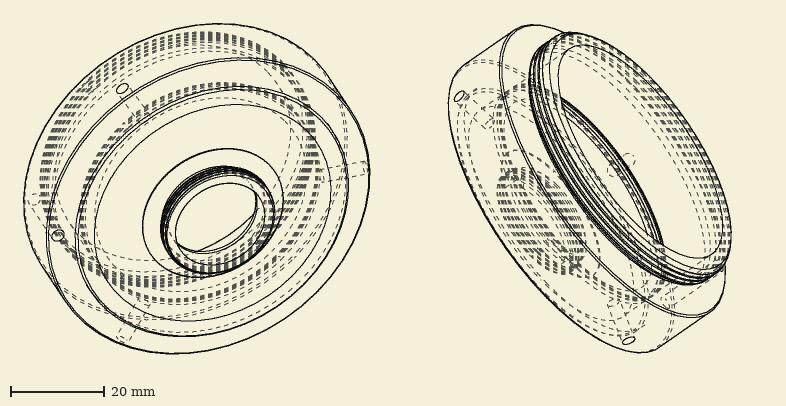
import cadquery as cq


flange_start = 7.62
flange_length = 15.24
flange_end = flange_start + flange_length
insert_face = 17.78
boss_end = 25.4
nose_end = 30.23

flange_radius = 73.66 / 2
flange_chamfer = 0.38
neck_radius = 29.62
boss_radius = 31.12
boss_chamfer = 0.5
foot_fillet = 0.25
ring_thread_radius = 30.7
ring_thread_depth = 0.68
ring_thread_pitch = 1.27
ring_thread_length = 5.95
ring_groove_runout = 1.3
bore_radius = 26.8
seat_radius = 26.92
seat_start = 17.36
undercut_start = 16.25
undercut_depth = 0.2
undercut_width = 0.45

hole_diameter = 2.8
axial_hole_radius = 34.25
radial_hole_setback = 3.46
radial_hole_count = 3

insert_chamfer = 0.65
cone_mouth_radius = 24.1
cone_depth = 6.7
light_hole_radius = 10.15

shoulder_radius = 16.0
shoulder_thickness = 0.25
nose_neck_radius = 11.75
nose_neck_length = 0.95
nose_thread_radius = 12.7
nose_thread_depth = 0.48
nose_thread_pitch = 25.4 / 32
nose_tip_radius = 12.1
nose_thread_turns = 6
nose_groove_runout = 0.76 * nose_thread_pitch

groove_overshoot = 0.05
edge_tolerance = 0.01


def lay_over(body):
    """Turn a body from the local Z axis onto the X axis."""
    return body.rotate((0, 0, 0), (0, 1, 0), 90)


def revolved(points):
    """Revolve a (radius, station) outline about the local Z axis."""
    return cq.Workplane("XZ").polyline(points).close().revolve(360, (0, 0, 0), (0, 1, 0))


def thread_cutter(crest_radius, depth, pitch, start, length):
    """Right-hand helical V cutter that leaves a narrow flat crest between its turns."""
    crest_width = pitch / 4
    half_width = (pitch - crest_width) / 2
    base_radius = crest_radius + groove_overshoot
    profile = cq.Workplane("XZ").polyline(
        [(base_radius, -half_width), (base_radius, half_width), (crest_radius - depth, 0)]
    ).close()
    path = cq.Workplane(obj=cq.Wire.makeHelix(pitch, length, crest_radius))
    return profile.sweep(path, isFrenet=True).translate((0, 0, start))


def external_thread(sleeve, crest_radius, depth, pitch, groove_start, groove_length):
    """Thread a plain sleeve, leaving its chamfered ends, by intersecting it with a longer grooved rod."""
    rod = cq.Workplane(origin=(0, 0, groove_start - 2 * pitch)).circle(crest_radius)
    rod = rod.extrude(groove_length + 4 * pitch)
    rod = rod.cut(thread_cutter(crest_radius, depth, pitch, groove_start, groove_length))
    return sleeve.intersect(rod)


def make_ring():
    flange = revolved([
        (bore_radius, ring_thread_length),
        (neck_radius, ring_thread_length),
        (neck_radius, flange_start),
        (flange_radius, flange_start),
        (flange_radius, flange_end),
        (boss_radius, flange_end),
        (boss_radius, boss_end - boss_chamfer),
        (boss_radius - boss_chamfer, boss_end),
        (seat_radius, boss_end),
        (seat_radius, seat_start),
        (bore_radius, seat_start),
        (bore_radius, undercut_start + undercut_width),
        (bore_radius + undercut_depth, undercut_start + undercut_width - undercut_depth),
        (bore_radius + undercut_depth, undercut_start),
        (bore_radius, undercut_start),
    ])
    flange = flange.edges(cq.selectors.RadiusNthSelector(-1)).chamfer(flange_chamfer)
    for foot_radius, station in ((neck_radius, flange_start), (boss_radius, flange_end)):
        foot_box = cq.selectors.BoxSelector(
            (-foot_radius, -foot_radius, station - edge_tolerance),
            (foot_radius, foot_radius, station + edge_tolerance),
        )
        flange = flange.edges(foot_box).edges(cq.selectors.RadiusNthSelector(0)).fillet(foot_fillet)

    thread_chamfer = ring_thread_radius - neck_radius
    sleeve = revolved([
        (bore_radius, 0),
        (neck_radius, 0),
        (ring_thread_radius, thread_chamfer),
        (ring_thread_radius, ring_thread_length - thread_chamfer),
        (neck_radius, ring_thread_length),
        (bore_radius, ring_thread_length),
    ])
    sleeve = external_thread(
        sleeve, ring_thread_radius, ring_thread_depth, ring_thread_pitch,
        -ring_groove_runout, ring_thread_length + 2 * ring_groove_runout,
    )
    body = lay_over(flange.union(sleeve))

    body = body.cut(
        cq.Workplane("YZ", origin=(flange_start, -axial_hole_radius, 0))
        .circle(hole_diameter / 2).extrude(flange_length)
    )
    screw_hole = (
        cq.Workplane("XZ", origin=(flange_end - radial_hole_setback, flange_radius, 0))
        .circle(hole_diameter / 2).extrude(flange_radius)
    )
    for index in range(radial_hole_count):
        angle = index * 360 / radial_hole_count
        body = body.cut(screw_hole.rotate((0, 0, 0), (1, 0, 0), angle))
    return body


def make_insert():
    body = revolved([
        (cone_mouth_radius, insert_face),
        (seat_radius - insert_chamfer, insert_face),
        (seat_radius, insert_face + insert_chamfer),
        (seat_radius, boss_end),
        (light_hole_radius, boss_end),
        (light_hole_radius, insert_face + cone_depth),
    ])
    return lay_over(body)


def make_nose():
    shoulder_end = boss_end + shoulder_thickness
    thread_begin = shoulder_end + nose_neck_length
    shoulder = revolved([
        (light_hole_radius, boss_end),
        (shoulder_radius, boss_end),
        (shoulder_radius, shoulder_end),
        (nose_neck_radius, shoulder_end),
        (nose_neck_radius, thread_begin),
        (light_hole_radius, thread_begin),
    ])
    sleeve = revolved([
        (light_hole_radius, thread_begin),
        (nose_neck_radius, thread_begin),
        (nose_thread_radius, thread_begin + nose_thread_radius - nose_neck_radius),
        (nose_thread_radius, nose_end - (nose_thread_radius - nose_tip_radius)),
        (nose_tip_radius, nose_end),
        (light_hole_radius, nose_end),
    ])
    groove_length = nose_thread_turns * nose_thread_pitch
    sleeve = external_thread(
        sleeve, nose_thread_radius, nose_thread_depth, nose_thread_pitch,
        nose_end + nose_groove_runout - groove_length, groove_length,
    )
    return lay_over(shoulder.union(sleeve))


ring = make_ring()
insert = make_insert()
nose = make_nose()

result = cq.Compound.makeCompound([ring.solids().val(), insert.solids().val(), nose.solids().val()])